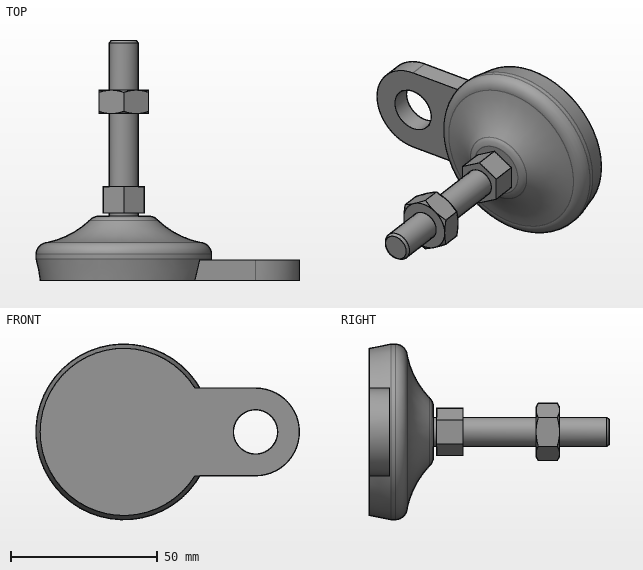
import cadquery as cq
import math

total_length = 90.0
total_height = 82.0
base_diameter = 60.0
base_radius = base_diameter / 2
spindle_x = base_radius

bottom_radius = 28.5
cone_top = 7.4
band_top = 9.0
shoulder_point = (25.9, 13.05)
shoulder_arc_point = (28.8, 11.8)
flank_arc_point = (17.1, 16.5)
crown_point = (11.7, 20.5)
crown_arc_point = (10.6, 21.4)
crown_flat_radius = 9.0
base_height = 22.0

lug_width = base_diameter / 2
lug_radius = lug_width / 2
lug_thickness = 7.0
lug_hole_diameter = 15.0
lug_x = total_length - lug_radius

spindle_diameter = 10.0
spindle_chamfer = 1.0
tip_radius = 4.3
spindle_radius = spindle_diameter / 2
drive_hex_flats = 14.0
drive_hex_bottom = 23.0
drive_hex_height = 9.0
nut_flats = 17.0
nut_bottom = 57.0
nut_height = 8.0
nut_face_radius = nut_flats / 2
nut_chamfer_angle = 30.0


def revolve_about_spindle(profile):
    """Revolve a closed (radius, Y) profile about the spindle axis."""
    return profile.close().revolve(360, (0, 0), (0, 1)).translate((spindle_x, 0, 0))


def hexagon(flats, bottom, height):
    """Hexagonal prism along Y with two corners pointing along Z."""
    corner_diameter = flats / math.cos(math.pi / 6)
    return (
        cq.Workplane("XZ", origin=(spindle_x, bottom, 0))
        .transformed(rotate=(0, 0, 90))
        .polygon(6, corner_diameter)
        .extrude(-height)
    )


def make_base():
    profile = (
        cq.Workplane("XY")
        .lineTo(bottom_radius, 0)
        .lineTo(base_radius, cone_top)
        .lineTo(base_radius, band_top)
        .threePointArc(shoulder_arc_point, shoulder_point)
        .threePointArc(flank_arc_point, crown_point)
        .threePointArc(crown_arc_point, (crown_flat_radius, base_height))
        .lineTo(0, base_height)
    )
    return revolve_about_spindle(profile)


def make_lug():
    lug = (
        cq.Workplane("XZ")
        .moveTo(spindle_x, -lug_radius)
        .lineTo(lug_x, -lug_radius)
        .threePointArc((total_length, 0), (lug_x, lug_radius))
        .lineTo(spindle_x, lug_radius)
        .close()
        .extrude(-lug_thickness)
    )
    hole = (
        cq.Workplane("XZ")
        .center(lug_x, 0)
        .circle(lug_hole_diameter / 2)
        .extrude(-lug_thickness)
    )
    return lug.cut(hole)


def make_spindle():
    profile = (
        cq.Workplane("XY")
        .moveTo(0, base_height / 2)
        .lineTo(spindle_radius, base_height / 2)
        .lineTo(spindle_radius, total_height - spindle_chamfer)
        .lineTo(tip_radius, total_height)
        .lineTo(0, total_height)
    )
    return revolve_about_spindle(profile)


def make_nut():
    """Lock nut with its corners turned down conically at both ends."""
    nut_top = nut_bottom + nut_height
    corner_radius = nut_face_radius / math.cos(math.pi / 6)
    chamfer_drop = (corner_radius - nut_face_radius) * math.tan(math.radians(nut_chamfer_angle))
    envelope = (
        cq.Workplane("XY")
        .moveTo(0, nut_bottom)
        .lineTo(nut_face_radius, nut_bottom)
        .lineTo(corner_radius, nut_bottom + chamfer_drop)
        .lineTo(corner_radius, nut_top - chamfer_drop)
        .lineTo(nut_face_radius, nut_top)
        .lineTo(0, nut_top)
    )
    return hexagon(nut_flats, nut_bottom, nut_height).intersect(revolve_about_spindle(envelope))


result = (
    make_base()
    .union(make_lug())
    .union(make_spindle())
    .union(hexagon(drive_hex_flats, drive_hex_bottom, drive_hex_height))
    .union(make_nut())
)